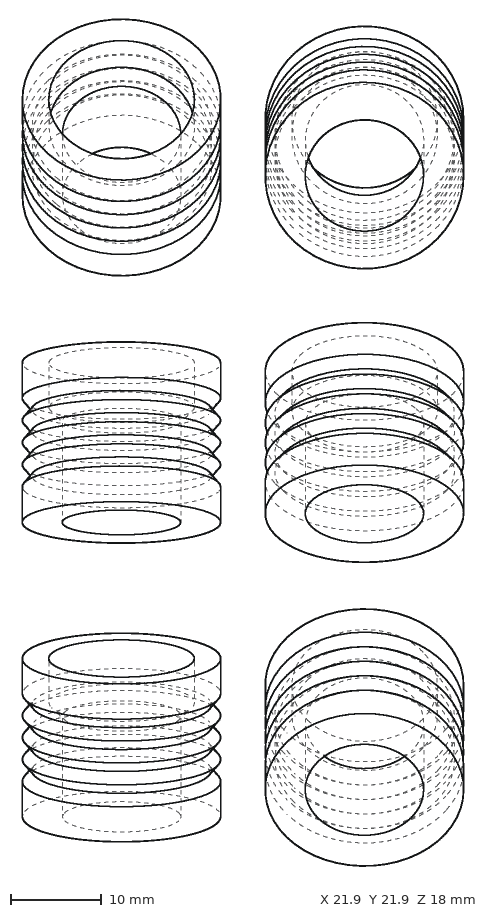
import cadquery as cq

outer_diameter = 21.87
height = 18.0
bore_diameter = 13.03
socket_diameter = 16.03
socket_depth = 5.0
socket_cone_height = 1.5
groove_count = 4
groove_pitch = 2.5
groove_depth = 1.05

outer_radius = outer_diameter / 2
bore_radius = bore_diameter / 2
socket_radius = socket_diameter / 2
band_height = (height - groove_count * groove_pitch) / 2
cone_top = height - socket_depth
cone_bottom = cone_top - socket_cone_height


def half_section():
    """Radius-height outline of the wall, revolved to make the sleeve."""
    points = [(bore_radius, 0), (outer_radius, 0), (outer_radius, band_height)]

    for index in range(groove_count):
        groove_bottom = band_height + index * groove_pitch
        points.append((outer_radius - groove_depth, groove_bottom + groove_pitch / 2))
        points.append((outer_radius, groove_bottom + groove_pitch))

    points += [
        (outer_radius, height),
        (socket_radius, height),
        (socket_radius, cone_top),
        (bore_radius, cone_bottom),
    ]
    return cq.Workplane("XZ").polyline(points).close()


result = half_section().revolve(360, (0, 0, 0), (0, 1, 0))